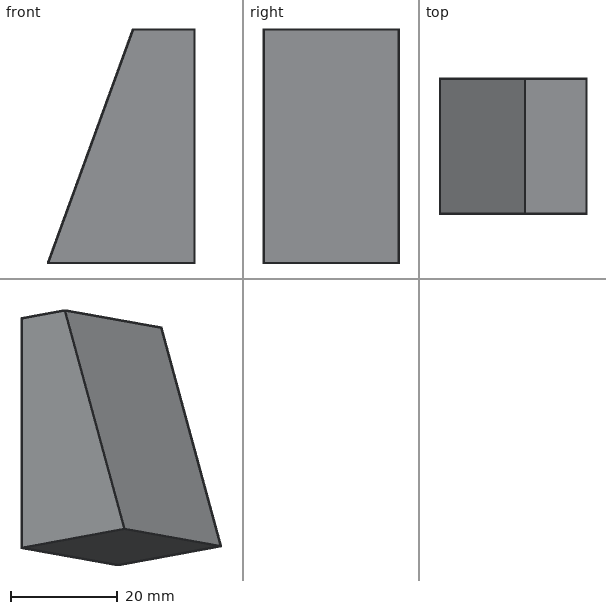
import cadquery as cq
import math

base_length = 27.51
width = 25.4
height = 43.79
slope_angle = 20.0

slope_run = height * math.tan(math.radians(slope_angle))


def wedge_block():
    """Block with a vertical +X face and a sloped -X face, centred on Y."""
    profile = (
        cq.Workplane("XZ")
        .moveTo(0, 0)
        .lineTo(base_length, 0)
        .lineTo(base_length, height)
        .lineTo(slope_run, height)
        .close()
    )
    return profile.extrude(width / 2, both=True)


result = wedge_block()